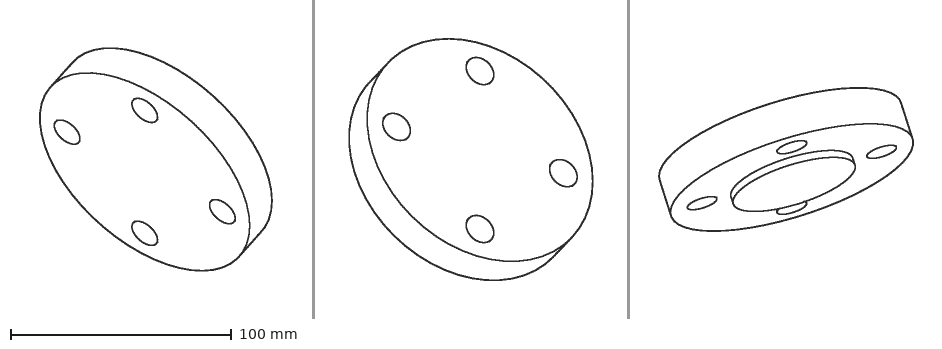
import cadquery as cq

flange_diameter = 115.0
total_thickness = 21.5
raised_face_height = 3.5
raised_face_diameter = 58.0
bolt_hole_diameter = 14.0
bolt_circle_diameter = 85.0
bolt_count = 4

flange_thickness = total_thickness - raised_face_height


def disc(diameter, start_y, thickness):
    """Solid disc about the Y axis, growing toward +Y from start_y."""
    plane = cq.Workplane("XZ", origin=(0, start_y, 0))
    return plane.circle(diameter / 2).extrude(-thickness)


def bolt_holes():
    """Cutters for the through holes, evenly spaced on the bolt circle."""
    return (
        cq.Workplane("XZ")
        .polarArray(bolt_circle_diameter / 2, 0, 360, bolt_count)
        .circle(bolt_hole_diameter / 2)
        .extrude(-flange_thickness)
    )


flange = disc(flange_diameter, 0, flange_thickness)
raised_face = disc(raised_face_diameter, flange_thickness, raised_face_height)

result = flange.union(raised_face).cut(bolt_holes())